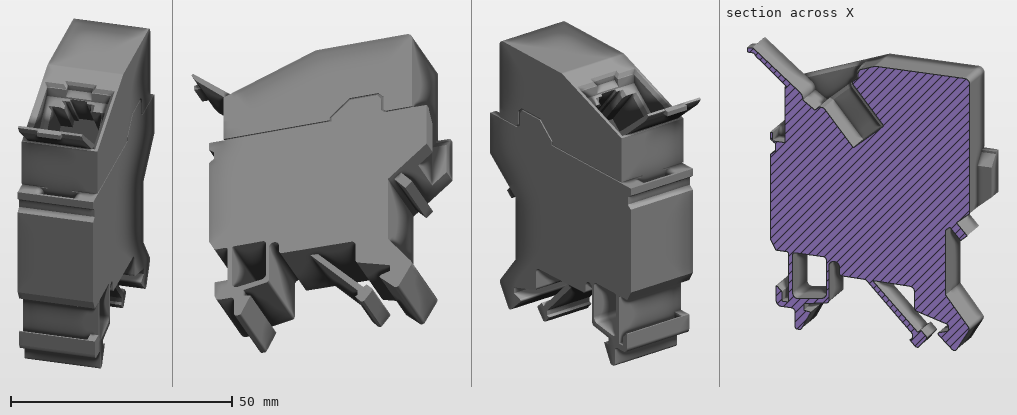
import cadquery as cq
import math

WIDTH = 17.7
HALF_WIDTH = WIDTH / 2

HOUSING_TOP = 46.9
HOUSING_FLOOR = 18.65
HOUSING_REAR = 52.1

TRAY_BACK = 4.4
TRAY_FLOOR = 6.7
TRAY_LIP = 1.65
TRAY_TOP = 10.1

HEAD_FRONT = 3.45
HEAD_REAR = 48.7
HEAD_TOP = 66.2
HEAD_FRONT_TOP = 58.1
SLOPE_START = 25.6
HEAD_ROUND = 1.3
HEAD_OVERLAP = 2.0
SLOPE_ANGLE = math.degrees(math.atan2(HEAD_TOP - HEAD_FRONT_TOP, SLOPE_START - HEAD_FRONT))

SEAM_DEPTH = 0.3
SEAM_HEAD_EDGE = 47.2
TONGUE_WIDTH = 5.65

WINDOW_WIDTH = 14.9
WINDOW_FRONT = 4.0
WINDOW_REAR = 20.7
WINDOW_BEVEL = 0.7
RECESS_WIDTH = 5.9
RECESS_REAR = 21.7
RECESS_STEP = 0.3
RECESS_RIM_OVERLAP = 2.65
JACK_TILT = 40.0
JACK_FOOT = (10.85, 53.65)
JACK_FACE_LENGTH = 11.85

FLAP_WIDTH = 15.0
FLAP_TAB_WIDTH = 5.5

LEVER_WIDTH = 12.1
REAR_TONGUE_WIDTH = 14.4


def rounded_outline(corners):
    """Closed YZ outline; each corner is (y, z) or (y, z, radius), radius rounding it with a tangent arc."""
    pieces = []
    for i, corner in enumerate(corners):
        point = cq.Vector(*corner[:2])
        if len(corner) == 2:
            pieces.append((point, None, point))
            continue
        radius = corner[2]
        to_previous = (cq.Vector(*corners[i - 1][:2]) - point).normalized()
        to_next = (cq.Vector(*corners[(i + 1) % len(corners)][:2]) - point).normalized()
        half_angle = to_previous.getAngle(to_next) / 2
        setback = radius / math.tan(half_angle)
        bisector = (to_previous + to_next).normalized()
        middle = point + bisector * (radius / math.sin(half_angle) - radius)
        pieces.append((point + to_previous * setback, middle, point + to_next * setback))

    outline = cq.Workplane("YZ").moveTo(pieces[0][2].x, pieces[0][2].y)
    for start, middle, end in pieces[1:] + pieces[:1]:
        outline = outline.lineTo(start.x, start.y)
        if middle is not None:
            outline = outline.threePointArc((middle.x, middle.y), (end.x, end.y))
    return outline.close()


def prism(corners, width=WIDTH):
    """Outline extruded along X, centred on the middle plane."""
    return rounded_outline(corners).extrude(width / 2, both=True)


def block(x_range, y_range, z_range):
    """Box given by its limits along each axis."""
    size = [high - low for low, high in (x_range, y_range, z_range)]
    return cq.Workplane("XY").box(*size, centered=False).translate((x_range[0], y_range[0], z_range[0]))


def housing():
    """Lower housing with the rear rail hook, the front spring leg and its tray."""
    return prism([
        (0, HOUSING_TOP), (0, 45.1), (1.1, 44.3), (1.1, 42.5), (0, 41.6), (0, 21.0), (1.3, HOUSING_FLOOR),
        (TRAY_BACK, HOUSING_FLOOR, 0.45), (TRAY_BACK, TRAY_FLOOR), (2.85, TRAY_FLOOR), (2.85, 8.9),
        (TRAY_LIP, TRAY_TOP), (1.3, TRAY_TOP),
        (1.3, 5.3, 1.3), (5.9, 5.3, 0.8),
        (5.9, 0.4, 0.65), (7.45, 0.4, 0.65), (9.9, 5.0), (8.25, 5.25), (8.25, 6.7), (14.3, 7.8, 0.65),
        (14.3, 17.85, 1.2), (16.8, 17.85, 1.2), (16.8, 14.65, 0.65),
        (35.1, 14.4, 1.05), (35.1, 8.8, 0.8), (43.35, 6.45, 0.4), (43.35, 5.0), (40.5, 4.1, 0.4),
        (45.0, 0.0, 0.8), (48.75, 6.1, 1.0), (42.8, 13.5), (42.8, 29.1),
        (HOUSING_REAR, 36.6), (HOUSING_REAR, 46.75), (39.95, HOUSING_TOP),
    ])


def leg_opening():
    """Opening through the spring leg that lets it flex."""
    return prism([(5.45, HOUSING_FLOOR, 0.5), (5.45, 7.65, 1.2), (13.65, 8.85, 1.3), (13.65, HOUSING_FLOOR, 0.8)])


def tray_end():
    """Wall closing the +X end of the marker tray."""
    tray_end_thickness = 1.85
    wall_x = (HALF_WIDTH - tray_end_thickness, HALF_WIDTH)
    return block(wall_x, (TRAY_LIP, TRAY_BACK), (TRAY_FLOOR, TRAY_TOP))


def rear_notch():
    """Notch in the middle of the rear overhang, with sloped lead-ins at its top."""
    cheek_inner = 7.2
    notch_half = 4.7
    lead_in_top = 46.2
    lead_in_bottom = lead_in_top - (cheek_inner - notch_half)
    above = HOUSING_TOP + 0.65
    below = HOUSING_FLOOR
    funnel = [
        (-cheek_inner, above), (-cheek_inner, lead_in_top),
        (-notch_half, lead_in_bottom), (-notch_half, below),
        (notch_half, below), (notch_half, lead_in_bottom),
        (cheek_inner, lead_in_top), (cheek_inner, above),
    ]
    notch_length = HOUSING_REAR - HEAD_REAR
    return cq.Workplane("XZ", origin=(0, HEAD_REAR, 0)).polyline(funnel).close().extrude(-notch_length)


def front_pocket():
    """Pocket in the shelf in front of the head, its ends rounding over into the shelf."""
    pocket_front = 0.6
    pocket_half = 3.6
    shoulder = 1.6
    pocket_floor = HOUSING_TOP - 2.0
    shoulder_start = HOUSING_TOP - shoulder
    mouth_half = pocket_half + shoulder
    pocket = cq.Workplane("XZ", origin=(0, pocket_front, 0)).moveTo(-mouth_half, HOUSING_TOP)
    pocket = pocket.radiusArc((-pocket_half, shoulder_start), shoulder)
    pocket = pocket.lineTo(-pocket_half, pocket_floor).lineTo(pocket_half, pocket_floor)
    pocket = pocket.lineTo(pocket_half, shoulder_start).radiusArc((mouth_half, HOUSING_TOP), shoulder).close()
    return pocket.extrude(pocket_front - HEAD_FRONT)


def head():
    """Connector head with a sloped front top; its foot runs down into the housing."""
    foot = HOUSING_TOP - HEAD_OVERLAP
    return prism([
        (HEAD_FRONT, foot), (HEAD_FRONT, HEAD_FRONT_TOP), (SLOPE_START, HEAD_TOP, HEAD_ROUND),
        (HEAD_REAR, HEAD_TOP, HEAD_ROUND), (HEAD_REAR, foot),
    ])


def seam():
    """Shallow seam on both sides and the front, stepping up over the latch bump of the housing."""
    head_edge = [
        (HEAD_REAR, 47.1), (42.35, 47.1), (41.8, 47.55), (41.8, 50.8), (40.55, 52.05),
        (33.6, 52.05), (28.9, 47.95), (28.9, SEAM_HEAD_EDGE), (HEAD_FRONT, SEAM_HEAD_EDGE),
    ]
    housing_edge = [
        (HEAD_FRONT, HOUSING_TOP), (29.35, HOUSING_TOP), (29.35, 47.9), (33.75, 51.6),
        (40.35, 51.6), (41.15, 50.5), (41.15, 47.55), (42.15, 46.75), (HEAD_REAR, 46.75),
    ]
    core_half = HALF_WIDTH - SEAM_DEPTH
    core = block((-core_half, core_half), (0, HOUSING_REAR), (0, HEAD_TOP))
    sides = prism(head_edge + housing_edge).cut(core)

    front_depth = (HEAD_FRONT, HEAD_FRONT + SEAM_DEPTH)
    front = block((-HALF_WIDTH, HALF_WIDTH), front_depth, (HOUSING_TOP, SEAM_HEAD_EDGE))
    tongue = block((-TONGUE_WIDTH / 2, TONGUE_WIDTH / 2), front_depth, (HOUSING_TOP, SEAM_HEAD_EDGE))
    return sides.union(front.cut(tongue))


def slope_height(y):
    """Height of the sloped head face at depth y."""
    return HEAD_FRONT_TOP + (y - HEAD_FRONT) * math.tan(math.radians(SLOPE_ANGLE))


def tilted_plane(y, z, angle):
    """Plane through (0, y, z) facing up and tilted toward -Y; its local y runs up and rearward."""
    tilt = math.radians(angle)
    return cq.Plane(origin=(0, y, z), xDir=(1, 0, 0), normal=(0, -math.sin(tilt), math.cos(tilt)))


def bevelled_rim(width, y_front, y_rear):
    """45 degree bevel cut into the sloped face around an opening of the given width."""
    plane = tilted_plane(y_front, slope_height(y_front), SLOPE_ANGLE)
    length = (y_rear - y_front) / math.cos(math.radians(SLOPE_ANGLE))
    rim = cq.Workplane(plane).center(0, length / 2).rect(width + 2 * WINDOW_BEVEL, length)
    return rim.extrude(-WINDOW_BEVEL, taper=45)


def window():
    """Window in the sloped face: bottom along the flap, rear side rising along the jack face."""
    tilt = math.radians(JACK_TILT)
    foot_y, foot_z = JACK_FOOT
    jack_top = (foot_y + JACK_FACE_LENGTH * math.cos(tilt), foot_z + JACK_FACE_LENGTH * math.sin(tilt))
    rear_wall = WINDOW_REAR - WINDOW_BEVEL / 2
    opening = prism([
        (WINDOW_FRONT, slope_height(WINDOW_FRONT)), JACK_FOOT, jack_top,
        (rear_wall, HEAD_TOP), (WINDOW_FRONT, HEAD_TOP),
    ], WINDOW_WIDTH)
    recess_rear_wall = RECESS_REAR - WINDOW_BEVEL / 2
    recess_front_floor = jack_top[1] + RECESS_STEP
    recess_rear_floor = recess_front_floor + (recess_rear_wall - jack_top[0]) * math.tan(tilt)
    recess = prism([
        (jack_top[0], recess_front_floor), (recess_rear_wall, recess_rear_floor),
        (recess_rear_wall, HEAD_TOP), (jack_top[0], HEAD_TOP),
    ], RECESS_WIDTH)
    rim = bevelled_rim(WINDOW_WIDTH, WINDOW_FRONT, WINDOW_REAR)
    recess_rim = bevelled_rim(RECESS_WIDTH, WINDOW_REAR - RECESS_RIM_OVERLAP, RECESS_REAR)
    return opening.union(recess).union(rim).union(recess_rim)


def jack():
    """Stepped plug opening, square to the tilted jack face, with a bevelled mouth."""
    bore_depth = 12.0
    mouth_bevel = 0.8
    bore_width = 11.7
    bore_bottom = 2.2
    bore_top = 9.5
    latch_width = 6.1
    latch_top = 11.2
    key_width = 4.0
    key_top = 11.8
    plane = tilted_plane(*JACK_FOOT, JACK_TILT)

    def slot_outline(width, bottom, top):
        return cq.Workplane(plane).center(0, (bottom + top) / 2).rect(width, top - bottom)

    def bevelled_slot(width, top):
        slot = slot_outline(width, bore_bottom, top).extrude(-bore_depth)
        mouth = slot_outline(width + 2 * mouth_bevel, bore_bottom - mouth_bevel, top)
        return slot.union(mouth.extrude(-mouth_bevel, taper=45))

    opening = bevelled_slot(bore_width, bore_top).union(bevelled_slot(latch_width, latch_top))
    return opening.union(slot_outline(key_width, bore_bottom, key_top).extrude(-bore_depth))


def flap():
    """Open dust flap with a bevelled tip and a finger tab."""
    plate = prism([
        (8.0, 56.8, 2.25), (-4.3, 66.6), (-4.7, 66.25), (-4.5, 65.85), (-3.5, 64.5), (4.1, 58.1), (8.0, 55.0),
    ], FLAP_WIDTH)
    tab = prism([(-4.3, 66.6), (-5.7, 66.3), (-5.7, 65.25), (-3.7, 65.25)], FLAP_TAB_WIDTH)
    return plate.union(tab)


def lever():
    """Slanted release lever with an arrow-shaped end, hanging from the underside."""
    return prism([
        (22.0, 15.85), (23.7, 15.85), (35.95, 3.7), (36.75, 4.25), (38.35, 2.65, 0.4),
        (36.1, 0.0), (35.4, 0.0), (33.95, 1.6), (34.6, 1.9), (34.6, 3.05),
    ], LEVER_WIDTH)


def rear_tongue():
    """Short tongue standing out of the sloped rear wall."""
    return prism([(43.3, 30.35), (46.4, 27.0), (48.1, 28.4), (44.95, 31.75)], REAR_TONGUE_WIDTH)


body = housing().cut(leg_opening()).union(tray_end()).union(rear_tongue()).union(lever())
body = body.cut(rear_notch()).union(head()).cut(front_pocket()).cut(seam())
result = body.cut(window()).cut(jack()).union(flap())